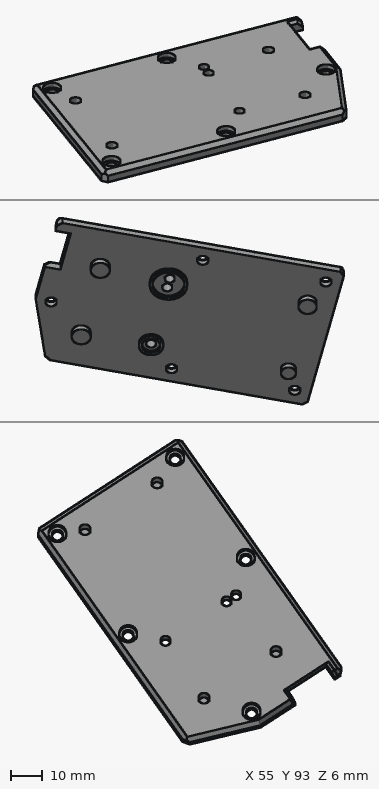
import cadquery as cq
import math

LENGTH = 93.0
WIDTH = 55.0
PLATE_THICKNESS = 4.0
PEG_HEIGHT = 2.0
PLATE_BOTTOM = PEG_HEIGHT
PLATE_TOP = PLATE_BOTTOM + PLATE_THICKNESS
EDGE_CHAMFER = 1.5
HALF_WIDTH = WIDTH / 2
HALF_LENGTH = LENGTH / 2

SLOPE_START_X = 4.5
SLOPE_ANGLE = 20.0

NOTCH_OFFSET = 3.6
NOTCH_WIDTH = 14.9
NOTCH_DEPTH = 5.0
NOTCH_CHAMFER = 1.0

SCREW_INSET = 5.0
SCREW_HOLE_DIAMETER = 3.5
COUNTERBORE_DIAMETER = 5.7
COUNTERBORE_DEPTH = 1.8
MIDDLE_SCREW_Y = -1.6

PEG_LEFT_X = -13.0
PEG_RIGHT_X = 14.5
PEG_BACK_Y = 29.5
PEG_FRONT_Y = -37.7
BACK_PEG_DIAMETER = 6.0
FRONT_LEFT_PEG_DIAMETER = 5.8
FRONT_RIGHT_PEG_DIAMETER = 4.7
PEG_HOLE_DIAMETER = 3.5
PEG_FLOOR = 1.0

RING_ROW_Y = 7.0
RING_HEIGHT = 1.0
LARGE_RING_X = -11.2
LARGE_RING_OUTER = 11.9
LARGE_RING_INNER = 10.1
RING_FLAT_WIDTH = 1.5
RING_FLAT_ANGLE = 216.0
SMALL_RING_X = 13.95
SMALL_RING_OUTER = 7.7
SMALL_RING_INNER = 5.8
PIN_HOLE_DIAMETER = 3.2
PIN_HOLE_SPACING = 3.6


def cylinder(x, y, diameter, bottom, top):
    """Vertical cylinder between two heights."""
    base = cq.Workplane("XY", origin=(x, y, bottom))
    return base.circle(diameter / 2).extrude(top - bottom)


def make_plate():
    """Plate with a sloping end edge, chamfered top rim and cut corners."""
    slope_drop = (HALF_WIDTH - SLOPE_START_X) * math.tan(math.radians(SLOPE_ANGLE))
    outline = [
        (-HALF_WIDTH, -HALF_LENGTH),
        (HALF_WIDTH, -HALF_LENGTH),
        (HALF_WIDTH, HALF_LENGTH - slope_drop),
        (SLOPE_START_X, HALF_LENGTH),
        (-HALF_WIDTH, HALF_LENGTH),
    ]
    base = cq.Workplane("XY", origin=(0, 0, PLATE_BOTTOM))
    plate = base.polyline(outline).close().extrude(PLATE_THICKNESS)
    plate = plate.faces(">Z").edges().chamfer(EDGE_CHAMFER)
    side_corners = plate.edges("|Z").edges("<X or >X")
    return side_corners.chamfer(EDGE_CHAMFER)


def cut_notch(plate):
    """Cut the notch and chamfer the upper edges of its two side walls."""
    left = -HALF_WIDTH + NOTCH_OFFSET
    right = left + NOTCH_WIDTH
    floor_y = HALF_LENGTH - NOTCH_DEPTH
    notch = cq.Workplane("XY").box(NOTCH_WIDTH, NOTCH_DEPTH, PLATE_TOP, centered=False)
    plate = plate.cut(notch.translate((left, floor_y, 0)))

    tolerance = 0.01
    rim_bottom = PLATE_TOP - EDGE_CHAMFER - tolerance
    rim_top = PLATE_TOP + tolerance
    for wall_x in (left, right):
        wall_rim = cq.selectors.BoxSelector(
            (wall_x - tolerance, floor_y - tolerance, rim_bottom),
            (wall_x + tolerance, HALF_LENGTH + tolerance, rim_top),
            boundingbox=True,
        )
        plate = plate.edges(wall_rim).chamfer(NOTCH_CHAMFER)
    return plate


def cut_screw_holes(body):
    """Cut five counterbored screw holes, one of them at the start of the slope."""
    side_x = HALF_WIDTH - SCREW_INSET
    end_y = HALF_LENGTH - SCREW_INSET
    places = [(SLOPE_START_X, end_y)]
    for x in (-side_x, side_x):
        places += [(x, MIDDLE_SCREW_Y), (x, -end_y)]
    for x, y in places:
        body = body.cut(cylinder(x, y, SCREW_HOLE_DIAMETER, 0, PLATE_TOP))
        body = body.cut(cylinder(x, y, COUNTERBORE_DIAMETER, PLATE_TOP - COUNTERBORE_DEPTH, PLATE_TOP))
    return body


def add_pegs(body):
    """Add the four hollow pegs, closed at the bottom."""
    pegs = [
        (PEG_LEFT_X, PEG_BACK_Y, BACK_PEG_DIAMETER),
        (PEG_RIGHT_X, PEG_BACK_Y, BACK_PEG_DIAMETER),
        (PEG_LEFT_X, PEG_FRONT_Y, FRONT_LEFT_PEG_DIAMETER),
        (PEG_RIGHT_X, PEG_FRONT_Y, FRONT_RIGHT_PEG_DIAMETER),
    ]
    for x, y, diameter in pegs:
        body = body.union(cylinder(x, y, diameter, 0, PLATE_BOTTOM))
        body = body.cut(cylinder(x, y, PEG_HOLE_DIAMETER, PEG_FLOOR, PLATE_TOP))
    return body


def make_ring(x, outer, inner):
    """Low ring standing down from the plate."""
    bottom = PLATE_BOTTOM - RING_HEIGHT
    ring = cylinder(x, RING_ROW_Y, outer, bottom, PLATE_BOTTOM)
    return ring.cut(cylinder(x, RING_ROW_Y, inner, bottom, PLATE_BOTTOM))


def cut_ring_flat(ring, x):
    """Cut the narrow flat on the outside of the large ring."""
    radius = LARGE_RING_OUTER / 2
    flat_distance = math.sqrt(radius**2 - (RING_FLAT_WIDTH / 2) ** 2)
    block = cq.Workplane("XY").box(radius, LARGE_RING_OUTER, PLATE_BOTTOM, centered=(False, True, False))
    block = block.translate((flat_distance, 0, 0)).rotate((0, 0, 0), (0, 0, 1), RING_FLAT_ANGLE)
    return ring.cut(block.translate((x, RING_ROW_Y, 0)))


def add_rings(body):
    """Add both rings and the through holes inside them."""
    large_ring = make_ring(LARGE_RING_X, LARGE_RING_OUTER, LARGE_RING_INNER)
    body = body.union(cut_ring_flat(large_ring, LARGE_RING_X))
    body = body.union(make_ring(SMALL_RING_X, SMALL_RING_OUTER, SMALL_RING_INNER))

    half_spacing = PIN_HOLE_SPACING / 2
    for x in (LARGE_RING_X - half_spacing, LARGE_RING_X + half_spacing, SMALL_RING_X):
        body = body.cut(cylinder(x, RING_ROW_Y, PIN_HOLE_DIAMETER, 0, PLATE_TOP))
    return body


plate = cut_notch(make_plate())
result = add_rings(add_pegs(cut_screw_holes(plate)))